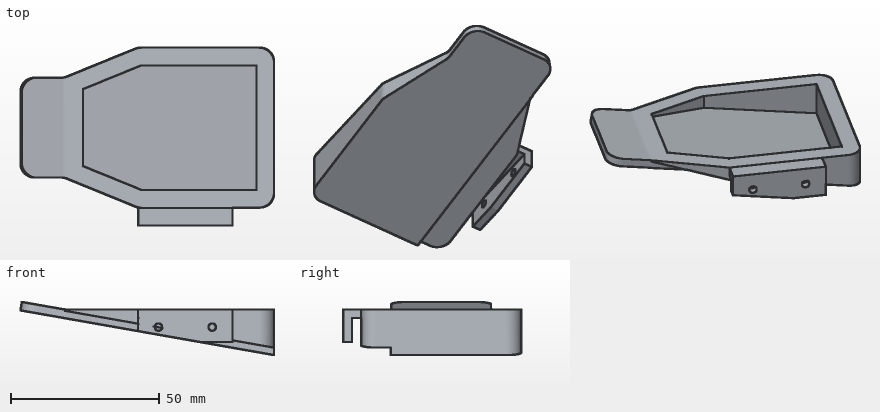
import cadquery as cq
import math

overall_length = 85.57
slope_angle = 10.0
floor_height = 3.0
corner_radius = 5.0

tray_length = 70.8
tray_half_width = 27.0
handle_half_width = 16.85
taper_length = 24.9
wall = 6.0

rebate_depth = 2.5
rebate_edge = 17.0

bracket_length = 31.9
bracket_width = 6.0
bracket_height = 11.05
bracket_thickness = 3.0
hole_diameter = 2.5
hole_drop = 6.0
hole_inset = 6.9

slope = math.radians(slope_angle)
floor_thickness = floor_height * math.cos(slope)
front_x = -tray_length
shoulder_x = front_x + taper_length
taper_angle = math.atan2(tray_half_width - handle_half_width, taper_length)
tip_foot_x = -overall_length
tip_top_x = tip_foot_x + floor_thickness * math.sin(slope)
clearance = 10.0


def floor_z(x, depth=0.0):
    """Height at x of the plane lying `depth` below the sloped floor surface."""
    return (front_x - x) * math.tan(slope) - depth / math.cos(slope)


def side_prism(points, y_low, y_high):
    """Prism with an XZ outline, reaching from y_low to y_high."""
    return cq.Workplane("XZ", origin=(0, y_high, 0)).polyline(points).close().extrude(y_high - y_low)


def below_slope(depth, y_low, y_high):
    """Everything under the plane lying `depth` below the floor surface."""
    left = -overall_length - clearance
    right = clearance
    bottom = floor_z(right, depth) - clearance
    points = [
        (left, bottom),
        (right, bottom),
        (right, floor_z(right, depth)),
        (left, floor_z(left, depth)),
    ]
    return side_prism(points, y_low, y_high)


def tray_blank():
    """Wedge with the handle at its thin end, trimmed to the plan outline."""
    profile = [
        (tip_foot_x, floor_z(tip_foot_x, floor_thickness)),
        (0, floor_z(0, floor_thickness)),
        (0, 0),
        (front_x, 0),
        (tip_top_x, floor_z(tip_top_x)),
    ]
    wedge = side_prism(profile, -tray_half_width, tray_half_width)
    bend_edge = cq.selectors.NearestToPointSelector((front_x, 0, 0))
    wedge = wedge.edges(bend_edge).fillet(corner_radius)

    outline_front = tip_foot_x - clearance
    outline_height = 2 * overall_length
    outline = (
        cq.Workplane("XY", origin=(0, 0, -overall_length))
        .moveTo(outline_front, -handle_half_width)
        .lineTo(front_x, -handle_half_width)
        .lineTo(shoulder_x, -tray_half_width)
        .lineTo(0, -tray_half_width)
        .lineTo(0, tray_half_width)
        .lineTo(shoulder_x, tray_half_width)
        .lineTo(front_x, handle_half_width)
        .lineTo(outline_front, handle_half_width)
        .close()
        .extrude(outline_height)
        .edges("|Z and (not <X)")
        .fillet(corner_radius)
    )
    blank = wedge.intersect(outline)
    floor_normal = cq.Vector(math.sin(slope), 0, math.cos(slope))
    return blank.edges(cq.selectors.ParallelDirSelector(floor_normal)).fillet(corner_radius)


def pocket():
    """Pocket inside the rim, cut down to the sloped floor."""
    rim_front_x = front_x + corner_radius * math.tan(slope / 2)
    pocket_front = rim_front_x + wall
    pocket_shoulder = shoulder_x + wall * math.tan(taper_angle / 2)
    pocket_half_width = tray_half_width - wall
    front_half_width = pocket_half_width - (pocket_shoulder - pocket_front) * math.tan(taper_angle)
    points = [
        (pocket_front, -front_half_width),
        (pocket_shoulder, -pocket_half_width),
        (-wall, -pocket_half_width),
        (-wall, pocket_half_width),
        (pocket_shoulder, pocket_half_width),
        (pocket_front, front_half_width),
    ]
    column = cq.Workplane("XY").polyline(points).close().extrude(-overall_length)
    return column.cut(below_slope(0, -tray_half_width, tray_half_width))


def make_tray():
    rebate = below_slope(floor_thickness - rebate_depth, -tray_half_width - clearance, -rebate_edge)
    return tray_blank().cut(pocket()).cut(rebate).solids()


def make_bracket():
    """L-section bracket on the tray's side, its hanging leg trimmed level with the underside."""
    inner_y = -tray_half_width
    outer_y = inner_y - bracket_width
    leg_y = outer_y + bracket_thickness
    section = [
        (inner_y, 0),
        (outer_y, 0),
        (outer_y, -bracket_height),
        (leg_y, -bracket_height),
        (leg_y, -bracket_thickness),
        (inner_y, -bracket_thickness),
    ]
    bracket = (
        cq.Workplane("YZ", origin=(shoulder_x, 0, 0))
        .polyline(section)
        .close()
        .extrude(bracket_length)
    )
    bracket = bracket.cut(below_slope(floor_thickness, outer_y - clearance, inner_y + clearance))
    for hole_x in (shoulder_x + hole_inset, shoulder_x + bracket_length - hole_inset):
        hole = (
            cq.Workplane("XZ", origin=(hole_x, leg_y, -hole_drop))
            .circle(hole_diameter / 2)
            .extrude(bracket_thickness)
        )
        bracket = bracket.cut(hole)
    return bracket.solids()


tray = make_tray()
bracket = make_bracket()
result = cq.Compound.makeCompound([tray.val(), bracket.val()])